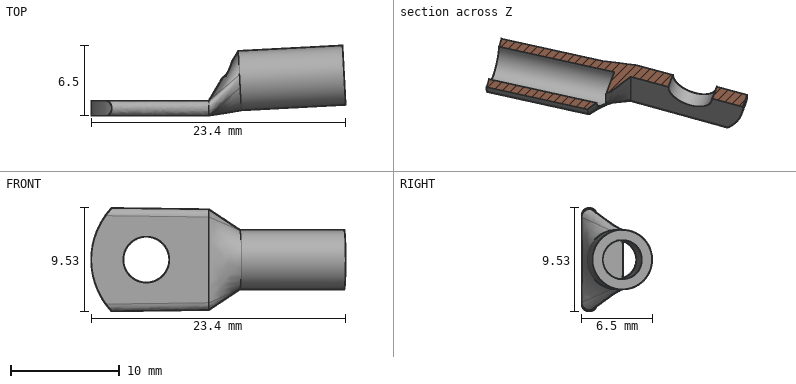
import cadquery as cq
import math


overall_length = 23.43

palm_thickness = 1.41
palm_tip_width = 9.53
palm_neck_width = 9.29
palm_length = 10.83
palm_tip_radius = 6.9
bolt_hole_diameter = 4.2
bolt_hole_x = 5.08
trim_margin = 0.5

barrel_diameter = 5.5
bore_diameter = 3.6
barrel_tilt = 3.0
barrel_start_x = 13.68
barrel_top_y = 6.5

neck_side_angle = 12.0
bore_floor_x = 12.45
window_floor_y = 3.83
window_floor_slope = 42.0

barrel_radius = barrel_diameter / 2
bore_radius = bore_diameter / 2
tilt = math.radians(barrel_tilt)
barrel_axis = cq.Vector(math.cos(tilt), math.sin(tilt), 0)
barrel_up = cq.Vector(-math.sin(tilt), math.cos(tilt), 0)

barrel_end_x = overall_length - barrel_radius * math.sin(tilt)
barrel_end = cq.Vector(barrel_end_x, barrel_top_y - barrel_radius * math.cos(tilt), 0)
barrel_length = (barrel_end_x - barrel_start_x) / math.cos(tilt)
barrel_start = barrel_end - barrel_axis * barrel_length


def arc_sag(radius, half_chord):
    """Depth of a circular arc over its chord."""
    return radius - math.sqrt(radius ** 2 - half_chord ** 2)


def slot_profile(x, width):
    """Full-round cross-section of the palm at a given x."""
    edge_radius = palm_thickness / 2
    z_edge = width / 2
    z_flat = z_edge - edge_radius
    bottom_left = cq.Vector(x, 0, -z_flat)
    bottom_right = cq.Vector(x, 0, z_flat)
    top_right = cq.Vector(x, palm_thickness, z_flat)
    top_left = cq.Vector(x, palm_thickness, -z_flat)
    return cq.Wire.assembleEdges([
        cq.Edge.makeLine(bottom_left, bottom_right),
        cq.Edge.makeThreePointArc(bottom_right, cq.Vector(x, edge_radius, z_edge), top_right),
        cq.Edge.makeLine(top_right, top_left),
        cq.Edge.makeThreePointArc(top_left, cq.Vector(x, edge_radius, -z_edge), bottom_left),
    ])


def barrel_profile():
    """Barrel circle split into four arcs that match the four edges of the palm section."""
    def rim(angle):
        turn = math.radians(angle)
        sideways = cq.Vector(0, 0, barrel_radius * math.cos(turn))
        return barrel_start + barrel_up * (barrel_radius * math.sin(turn)) + sideways

    side = neck_side_angle
    arcs = [
        (180 + side, 270, 360 - side),
        (-side, 0, side),
        (side, 90, 180 - side),
        (180 - side, 180, 180 + side),
    ]
    edges = [
        cq.Edge.makeThreePointArc(rim(first), rim(middle), rim(last))
        for first, middle, last in arcs
    ]
    return cq.Wire.assembleEdges(edges)


def make_palm():
    """Palm tapering toward the neck, with a rounded tip and the bolt hole."""
    tip_sag = arc_sag(palm_tip_radius, palm_tip_width / 2)
    taper = (palm_tip_width - palm_neck_width) / (palm_length - tip_sag)
    width_at_zero = palm_tip_width + taper * tip_sag
    sections = [slot_profile(0, width_at_zero), slot_profile(palm_length, palm_neck_width)]
    body = cq.Workplane(cq.Solid.makeLoft(sections, True))

    trim_half_width = palm_tip_width / 2 + trim_margin
    trim_sag = arc_sag(palm_tip_radius, trim_half_width)
    tip_outline = (
        cq.Workplane("XZ", origin=(0, -trim_margin, 0))
        .moveTo(trim_sag, -trim_half_width)
        .threePointArc((0, 0), (trim_sag, trim_half_width))
        .lineTo(palm_length + trim_margin, trim_half_width)
        .lineTo(palm_length + trim_margin, -trim_half_width)
        .close()
        .extrude(-(palm_thickness + 2 * trim_margin))
    )
    bolt_hole = (
        cq.Workplane("XZ")
        .center(bolt_hole_x, 0)
        .circle(bolt_hole_diameter / 2)
        .extrude(-palm_thickness)
    )
    return body.intersect(tip_outline).cut(bolt_hole)


def make_neck():
    """Ruled flare from the palm section to the barrel circle."""
    sections = [slot_profile(palm_length, palm_neck_width), barrel_profile()]
    return cq.Workplane(cq.Solid.makeLoft(sections, True))


def make_barrel():
    """Solid tilted barrel, from the neck to its open end."""
    return cq.Workplane(cq.Solid.makeCylinder(barrel_radius, barrel_length, barrel_start, barrel_axis))


def make_bore():
    """Bore open at the barrel end, closed in the neck below a sloping window floor."""
    bore_length = barrel_length + barrel_start_x - palm_length
    bore_start = barrel_end - barrel_axis * bore_length
    cylinder = cq.Workplane(cq.Solid.makeCylinder(bore_radius, bore_length, bore_start, barrel_axis))

    floor_run = bore_floor_x - palm_length
    floor_drop = floor_run * math.tan(math.radians(window_floor_slope))
    keep_region = (
        cq.Workplane("XY")
        .moveTo(palm_length, window_floor_y - floor_drop)
        .lineTo(bore_floor_x, window_floor_y)
        .lineTo(bore_floor_x, 0)
        .lineTo(overall_length, 0)
        .lineTo(overall_length, barrel_top_y)
        .lineTo(palm_length, barrel_top_y)
        .close()
        .extrude(bore_radius, both=True)
    )
    return cylinder.intersect(keep_region)


lug_body = make_palm().union(make_neck()).union(make_barrel())
result = lug_body.cut(make_bore())